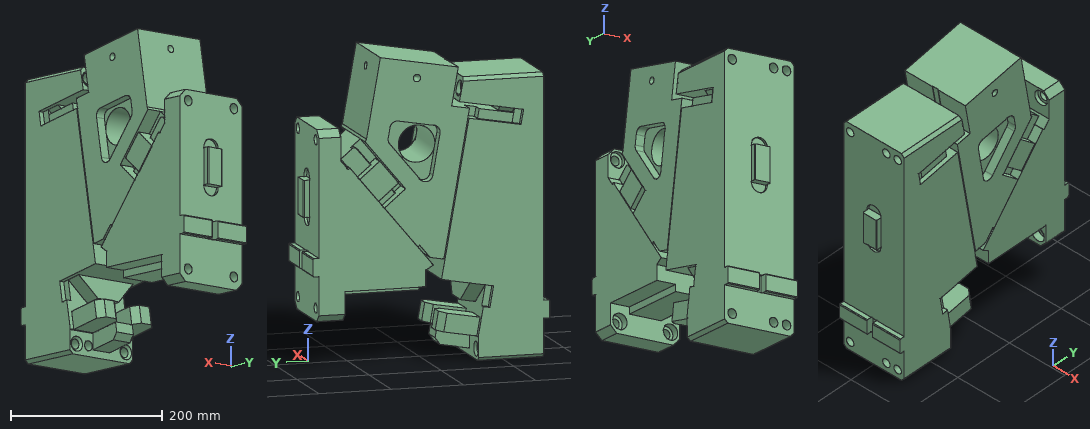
import cadquery as cq
import math

width = 110.0
half_width = width / 2
overall_height = 417.8
front_height = 384.5
front_face_y = 0.0
rear_face_y = 311.2

lean_angle = 10.0
joint_origin = (141.5, 113.2)

slope_angle = 50.0
slope_origin = (153.0, 133.5)

slot_floor = 219.0
slot_ceiling = 239.5
slot_end = -62.5
cheek_inset = 7.0
tongue_top = 232.3

foot_start = 105.3
foot_end = 192.0
foot_height = 25.5
foot_half_width = 40.0
neck_half_width = 33.0
neck_height = 38.0

hole_diameter = 13.5
hole_edge_distance = 14.5

far = 2089.0
fuse_overlap = 4.0
cut_overrun = 2.0


def frame_point(origin, angle, along, across):
    """Turn frame coordinates into global (Y, Z)."""
    a = math.radians(angle)
    y = origin[0] + along * math.cos(a) - across * math.sin(a)
    z = origin[1] + along * math.sin(a) + across * math.cos(a)
    return (y, z)


def joint(u, v):
    return frame_point(joint_origin, lean_angle, u, v)


def slope(s, n):
    return frame_point(slope_origin, slope_angle, s, n)


def prism(points, half):
    """Extrude a (Y, Z) outline symmetrically about the plane X = 0."""
    return cq.Workplane("YZ").polyline(points).close().extrude(half, both=True)


def frame_block(frame, low, high, half):
    """Block aligned with a frame, between two opposite corners."""
    corners = [(low[0], low[1]), (high[0], low[1]), (high[0], high[1]), (low[0], high[1])]
    return prism([frame(*corner) for corner in corners], half)


def side_pair(block, inner_half):
    """Keep only the parts of a block lying further out than inner_half."""
    core = cq.Workplane("XY").box(2 * inner_half, far, far)
    return block.cut(core)


def y_cylinder(x, z, diameter, y_start, y_end):
    length = y_end - y_start
    return cq.Workplane("XZ", origin=(x, y_start, z)).circle(diameter / 2).extrude(-length)


coupling_height = 8.5
coupling_chamfer = 1.3
recess_depth = 3.8
key_width = 25.0
key_length = 50.0
key_recess_length = 77.0
pad_height = 24.5
pad_gap = 10.0


def add_coupling(body, face_y, key_z, pad_z):
    """Add a key in a round-ended recess and a split pad to a face; the front face points to -Y."""
    outward = -1 if face_y == front_face_y else 1
    outer = "<Y" if outward < 0 else ">Y"

    recess = (
        cq.Workplane("XZ", origin=(0, face_y, key_z))
        .slot2D(key_recess_length, key_width, 90)
        .extrude(outward * recess_depth)
    )
    key_depth = coupling_height + recess_depth
    key_y = face_y + outward * (coupling_height - key_depth / 2)
    key = (
        cq.Workplane("XY", origin=(0, key_y, key_z))
        .box(key_width, key_depth, key_length)
        .faces(outer).edges("|Z").chamfer(coupling_chamfer)
    )
    body = body.cut(recess).union(key)

    gap_y = face_y - outward * recess_depth / 2
    gap = cq.Workplane("XY", origin=(0, gap_y, pad_z)).box(pad_gap, recess_depth, pad_height)
    body = body.cut(gap)

    pad_width = (width - pad_gap) / 2
    pad_y = face_y + outward * coupling_height / 2
    for side in (-1, 1):
        pad_x = side * (pad_gap + pad_width) / 2
        pad = (
            cq.Workplane("XY", origin=(pad_x, pad_y, pad_z))
            .box(pad_width, coupling_height, pad_height)
            .faces(outer).edges("|X").chamfer(coupling_chamfer)
        )
        body = body.union(pad)
    return body


housing_foot_depth = 90.2
housing_foot_height = 32.0
housing_corner_chamfer = 5.0
lip_offset = 17.0
lip_top_y = 110.5
lower_back = -64.0
lower_back_end = -70.0
recess_end = -73.0
latch_start = -42.5
lower_latch_height = 29.2
tongue_root = 12.5
tongue_tip = -8.5
tongue_low = -70.0
tongue_high = -44.5
tongue_corner = 9.0
tongue_width = 35.5
tongue_x = 31.0
web_tip = -18.5
web_bottom = -92.7
web_corner = 8.5
web_half_width = 14.5
outer_hole_x = 43.0
inner_hole_x = 22.5
housing_hole_x = (-outer_hole_x, inner_hole_x, outer_hole_x)
lip_back_at_holes = 113.2
countersink_diameter = 20.0
housing_key_z = 230.0
housing_pad_z = 64.8


def make_latch(v_top, height, u_end):
    """Latch hanging below v_top whose sides slope inwards at 45 degrees."""
    top_half = half_width - cheek_inset
    bottom_half = top_half - height
    lean = math.radians(lean_angle)
    end_face = cq.Plane(
        origin=(0, *joint(latch_start, v_top)),
        xDir=(1, 0, 0),
        normal=(0, -math.cos(lean), -math.sin(lean)),
    )
    section = [(-top_half, 0), (top_half, 0), (bottom_half, -height), (-bottom_half, -height)]
    return cq.Workplane(end_face).polyline(section).close().extrude(latch_start - u_end)


def make_countersink(x, z, back_y):
    """90-degree countersink opening towards +Y, widened a little beyond the back face."""
    big_radius = countersink_diameter / 2 + cut_overrun
    tip = cq.Vector(x, back_y + cut_overrun, z)
    return cq.Workplane(cq.Solid.makeCone(big_radius, 0, big_radius, tip, cq.Vector(0, -1, 0)))


def make_lower_tongues():
    """Two tongues with cut tip corners, joined by a narrow web below them."""
    root = lower_back - tongue_root
    web = prism(
        [
            joint(root, tongue_low),
            joint(web_tip, tongue_low),
            joint(web_tip, web_bottom + web_corner),
            joint(web_tip - web_corner, web_bottom),
            joint(root, web_bottom),
        ],
        web_half_width,
    )
    tongue = frame_block(joint, (root, tongue_low), (tongue_tip, tongue_high), tongue_width / 2)
    tongue = tongue.faces(">Y").edges("not |X").chamfer(tongue_corner)
    tongues = web
    for side in (-1, 1):
        tongues = tongues.union(tongue.translate((side * tongue_x, 0, 0)))
    return tongues


def make_front_housing():
    body = prism(
        [
            (front_face_y, 0),
            (front_face_y, front_height),
            (lip_top_y, front_height),
            joint(lip_offset, slot_ceiling),
            joint(slot_end, slot_ceiling),
            joint(slot_end, slot_floor),
            joint(0, slot_floor),
            joint(0, 0),
            joint(lower_back, 0),
            joint(lower_back, lower_back_end),
            (housing_foot_depth, housing_foot_height),
            (housing_foot_depth, 0),
        ],
        half_width,
    )
    for end in (">Z", "<Z"):
        body = body.faces(end).edges("|Y").chamfer(housing_corner_chamfer)

    inner_half = half_width - cheek_inset
    upper_recess = frame_block(joint, (recess_end, slot_floor), (slot_end, slot_ceiling), half_width)
    lower_recess = frame_block(joint, (recess_end, -lower_latch_height), (lower_back, 0), half_width)
    for recess in (upper_recess, lower_recess):
        body = body.cut(side_pair(recess, inner_half))

    body = body.union(make_latch(slot_ceiling, slot_ceiling - tongue_top, slot_end))
    body = body.union(make_latch(0, lower_latch_height, lower_back))
    body = body.union(make_lower_tongues())

    hole_rows = (
        (hole_edge_distance, housing_foot_depth),
        (front_height - hole_edge_distance, lip_back_at_holes),
    )
    for z, back_y in hole_rows:
        for x in (-outer_hole_x, outer_hole_x):
            body = body.cut(make_countersink(x, z, back_y))
        for x in housing_hole_x:
            body = body.cut(y_cylinder(x, z, hole_diameter, front_face_y, lip_back_at_holes + cut_overrun))
    return add_coupling(body, front_face_y, housing_key_z, housing_pad_z)


carrier_front = 1.5
carrier_bottom = 27.5
carrier_nose = 26.7
carrier_back = 136.0
carrier_back_low = 174.5
carrier_top = (
    (overall_height - joint_origin[1] - carrier_back * math.sin(math.radians(lean_angle)))
    / math.cos(math.radians(lean_angle))
)
relief_start = 11.0
relief_end = 33.5
relief_height = 3.5
tongue_neck_half_width = 33.5
tongue_head_start = -14.0
foot_crest_radius = 5.0
window_low_u = 36.5
window_high_u = 106.5
window_top = 204.0
window_slope_offset = 61.0
window_depth = 13.8
window_radius = 10.0
bore_center = (61.5, 174.5)
bore_diameter = 50.0
mark_center = (81.0, 264.0)
mark_diameter = 10.0
nose_groove_width = 10.0
nose_groove_depth = 1.0


def make_foot():
    """T-shaped foot standing in the side recesses of the carrier."""
    neck = frame_block(slope, (foot_start, 0), (foot_end, neck_height), neck_half_width)
    foot = frame_block(slope, (foot_start, 0), (foot_end, foot_height), foot_half_width)
    crest = cq.selectors.NearestToPointSelector((0, *slope(foot_end, foot_height)))
    foot = foot.edges(crest).fillet(foot_crest_radius)
    return neck.union(foot)


def make_window():
    """Rounded four-sided window whose lower side follows the slope."""
    upright = frame_block(joint, (window_low_u, carrier_bottom), (window_high_u, window_top), half_width)
    above_slope = frame_block(slope, (-far, window_slope_offset), (far, far), half_width)
    return upright.intersect(above_slope).edges("|X").fillet(window_radius)


def make_carrier():
    body = prism(
        [
            joint(carrier_front, carrier_bottom),
            joint(carrier_front, tongue_top),
            joint(carrier_nose, tongue_top),
            joint(carrier_nose, carrier_top),
            joint(carrier_back, carrier_top),
            joint(carrier_back, carrier_back_low),
            slope(foot_end, neck_height),
            slope(foot_start, neck_height),
            slope(foot_start, 0),
            slope(relief_end, 0),
            slope(relief_end, relief_height),
            slope(relief_start, relief_height),
        ],
        half_width,
    )
    body = body.union(make_foot())

    neck = frame_block(
        joint, (tongue_head_start, slot_floor), (carrier_front, tongue_top), tongue_neck_half_width
    )
    head = frame_block(
        joint, (slot_end, slot_floor), (tongue_head_start, tongue_top), half_width - cheek_inset
    )
    body = body.union(neck).union(head)

    body = body.cut(side_pair(make_window(), half_width - window_depth))
    bore = cq.Workplane("YZ").center(*joint(*bore_center)).circle(bore_diameter / 2)
    body = body.cut(bore.extrude(half_width, both=True))

    lean = math.radians(lean_angle)
    side_y, side_z = joint(*mark_center)
    back_y, back_z = joint(carrier_back, mark_center[1])
    marks = (
        (cq.Vector(-half_width, side_y, side_z), cq.Vector(1, 0, 0)),
        (cq.Vector(half_width, side_y, side_z), cq.Vector(-1, 0, 0)),
        (cq.Vector(0, back_y, back_z), cq.Vector(0, -math.cos(lean), -math.sin(lean))),
    )
    for base, inward in marks:
        mark = cq.Solid.makeCone(mark_diameter / 2, 0, mark_diameter / 2, base, inward)
        body = body.cut(cq.Workplane(mark))

    groove = frame_block(
        joint,
        (carrier_nose, tongue_top),
        (carrier_nose + nose_groove_depth, carrier_top),
        nose_groove_width / 2,
    )
    return body.cut(groove)


bracket_top = 323.8
bracket_bottom = 64.5
bracket_corner_chamfer = 10.0
upper_flange_y = 280.7
lower_flange_y = 275.0
bracket_nose_y = 163.5
bracket_nose_top = 127.0
bracket_floor = 105.0
keel_drop = 10.0
keel_half_width = 25.0
slope_step_start = 179.5
slope_step_depth = 3.0
slope_step_end = (
    (upper_flange_y - slope_origin[0] - slope_step_depth * math.sin(math.radians(slope_angle)))
    / math.cos(math.radians(slope_angle))
)
hook_start = 117.5
hook_end = 158.0
hook_height = 36.5
counterbore_diameter = 22.5
counterbore_seat_y = 286.5
bracket_hole_x = 40.0
bracket_lower_hole_height = 17.5
hook_inset = 1.3
bracket_key_z = 224.5
bracket_pad_z = 139.5


def make_hooks():
    """Pair of hooks that reach over the foot of the carrier."""
    posts = frame_block(slope, (hook_start, -fuse_overlap), (hook_end, hook_height), half_width - hook_inset)
    posts = side_pair(posts, foot_half_width)
    tips = frame_block(slope, (hook_start, foot_height), (hook_end, hook_height), half_width - hook_inset)
    tips = side_pair(tips, neck_half_width)
    return posts.union(tips)


def make_rear_bracket():
    body = prism(
        [
            (rear_face_y, bracket_bottom),
            (rear_face_y, bracket_top),
            (upper_flange_y, bracket_top),
            slope(slope_step_end, -slope_step_depth),
            slope(slope_step_start, -slope_step_depth),
            slope(slope_step_start, 0),
            slope(0, 0),
            (bracket_nose_y, bracket_nose_top),
            (bracket_nose_y, bracket_floor),
            (lower_flange_y, bracket_floor),
            (lower_flange_y, bracket_bottom),
        ],
        half_width,
    )
    for end in (">Z", "<Z"):
        body = body.faces(end).edges("|Y").chamfer(bracket_corner_chamfer)

    keel = prism(
        [
            (bracket_nose_y, bracket_floor),
            (bracket_nose_y, bracket_floor - keel_drop),
            (lower_flange_y, bracket_floor - keel_drop),
            (lower_flange_y, bracket_floor),
        ],
        keel_half_width,
    )
    body = body.union(keel).union(make_hooks())

    hole_rows = (
        (bracket_top - hole_edge_distance, upper_flange_y),
        (bracket_bottom + bracket_lower_hole_height, lower_flange_y),
    )
    for z, flange_y in hole_rows:
        for x in (-bracket_hole_x, bracket_hole_x):
            body = body.cut(y_cylinder(x, z, hole_diameter, flange_y, rear_face_y))
            body = body.cut(y_cylinder(x, z, counterbore_diameter, flange_y, counterbore_seat_y))
    return add_coupling(body, rear_face_y, bracket_key_z, bracket_pad_z)


front_housing = make_front_housing()
carrier = make_carrier()
rear_bracket = make_rear_bracket()
result = cq.Compound.makeCompound(
    [front_housing.solids().val(), carrier.solids().val(), rear_bracket.solids().val()]
)